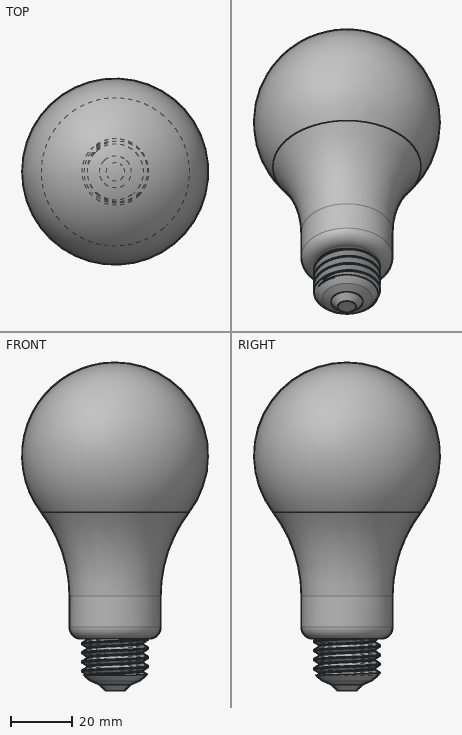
import cadquery as cq
import math

total_height = 107.5
globe_radius = 30.5
globe_center_z = total_height - globe_radius

collar_radius = 15.0
neck_radius = 45.0
collar_edge_radius = 4.0

thread_radius = 21.77 / 2
thread_root_radius = 18.34 / 2
thread_pitch = 3.0
groove_root_width = 0.4
groove_mouth_width = 2.6
groove_overshoot = 0.15
spare_turns = 2
groove_end_z = 5.2
shoulder_radius = 8.15
shoulder_z = 3.4
thread_end_z = 6.0
taper_bulge = 0.15
throat_radius = 5.2
throat_z = 2.1
contact_radius = 3.0
cap_height = 17.0

neck_center_x = collar_radius + neck_radius
center_distance = globe_radius + neck_radius
neck_angle = math.acos(neck_center_x / center_distance)
neck_center_z = globe_center_z - center_distance * math.sin(neck_angle)
joint_radius = globe_radius * math.cos(neck_angle)
joint_z = globe_center_z - globe_radius * math.sin(neck_angle)


def revolve_profile(profile):
    """Spin a closed profile, drawn at -X, once round the Z axis."""
    return profile.close().revolve(360, (0, 0, 0), (0, 1, 0))


def make_globe():
    return revolve_profile(
        cq.Workplane("XZ")
        .moveTo(0, joint_z)
        .lineTo(-joint_radius, joint_z)
        .threePointArc((-globe_radius, globe_center_z), (0, total_height))
    )


def make_housing():
    collar_edge_z = cap_height + collar_edge_radius
    edge_inset = collar_edge_radius * (1 - math.sqrt(0.5))
    edge_middle = (edge_inset - collar_radius, cap_height + edge_inset)
    neck_middle = (
        neck_radius * math.cos(neck_angle / 2) - neck_center_x,
        neck_center_z + neck_radius * math.sin(neck_angle / 2),
    )
    return revolve_profile(
        cq.Workplane("XZ")
        .moveTo(0, cap_height)
        .lineTo(collar_edge_radius - collar_radius, cap_height)
        .threePointArc(edge_middle, (-collar_radius, collar_edge_z))
        .lineTo(-collar_radius, neck_center_z)
        .threePointArc(neck_middle, (-joint_radius, joint_z))
        .lineTo(0, joint_z)
    )


def make_cap_blank():
    return revolve_profile(
        cq.Workplane("XZ")
        .lineTo(-contact_radius, 0)
        .lineTo(-throat_radius, throat_z)
        .lineTo(-shoulder_radius, shoulder_z)
        .sagittaArc((-thread_radius, thread_end_z), taper_bulge)
        .lineTo(-thread_radius, cap_height)
        .lineTo(0, cap_height)
    )


def make_thread_groove():
    """Right-handed helical groove that runs past both ends of the barrel.

    Its centre line crosses the top of the cap at -X.
    """
    turns = math.ceil((cap_height - groove_end_z) / thread_pitch) + spare_turns
    start_z = cap_height + (1 - turns) * thread_pitch
    flank_width = (groove_mouth_width - groove_root_width) / 2
    flank_slope = flank_width / (thread_radius - thread_root_radius)
    outer_radius = thread_radius + groove_overshoot
    outer_half_width = groove_mouth_width / 2 + groove_overshoot * flank_slope
    root_half_width = groove_root_width / 2
    path = cq.Wire.makeHelix(thread_pitch, turns * thread_pitch, thread_root_radius)
    return (
        cq.Workplane("XZ")
        .polyline([
            (thread_root_radius, -root_half_width),
            (outer_radius, -outer_half_width),
            (outer_radius, outer_half_width),
            (thread_root_radius, root_half_width),
        ])
        .close()
        .sweep(cq.Workplane(path), isFrenet=True)
        .rotate((0, 0, 0), (0, 0, 1), 180)
        .translate((0, 0, start_z))
    )


def make_screw_cap():
    """Thread the barrel of the cap only, leaving the tip below it uncut."""
    barrel_zone = (
        cq.Workplane("XY", origin=(0, 0, groove_end_z))
        .circle(collar_radius)
        .extrude(cap_height - groove_end_z)
    )
    return make_cap_blank().cut(make_thread_groove().intersect(barrel_zone))


globe = make_globe()
housing = make_housing()
screw_cap = make_screw_cap()

result = cq.Compound.makeCompound([globe.val(), housing.val(), screw_cap.val()])